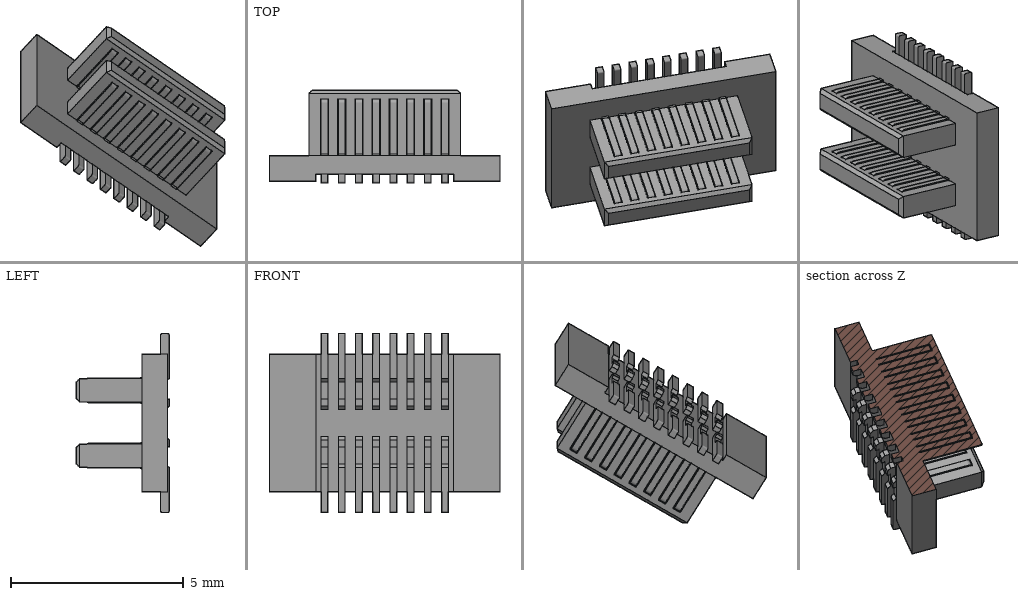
import cadquery as cq


base_length = 6.7
base_height = 4.0
base_thickness = 0.75
recess_length = 4.0
recess_depth = 0.2

blade_length = 4.41
blade_projection = 1.9
blade_inner_z = 0.61
blade_outer_z = 1.285
blade_tip_chamfer = 0.1
blade_tip_y = base_thickness + blade_projection

pin_count = 8
pin_row_span = 3.5
pin_pitch = pin_row_span / (pin_count - 1)
pin_width = 0.2
slot_clearance = 0.02
slot_width = pin_width + 2 * slot_clearance
slot_depth = 0.1
slot_end_y = blade_tip_y - 0.26

contact_proud = 0.03
contact_tip_radius = 0.12
flare_length = 0.05
flare_rise = 0.02
contact_inner_z = blade_inner_z - contact_proud
contact_outer_z = blade_outer_z + contact_proud

tail_face_y = -0.05
tail_embedment = 0.01
tail_back_y = recess_depth + tail_embedment
tail_inner_z = 0.39
tail_outer_z = 2.6
tail_inner_chamfer = 0.1
tail_end_radius = 0.05
notch_depth = 0.1
notch_inner_z = 0.69
notch_outer_z = 1.29


def box(x_range, y_range, z_range):
    """Box spanning the given (low, high) ranges along X, Y and Z."""
    spans = [high - low for low, high in (x_range, y_range, z_range)]
    corner = (x_range[0], y_range[0], z_range[0])
    return cq.Workplane("XY").box(*spans, centered=False).translate(corner)


def centred(length):
    return (-length / 2, length / 2)


def make_base():
    plate = box(centred(base_length), (0, base_thickness), centred(base_height))
    recess = box(centred(recess_length), (0, recess_depth), centred(base_height))
    return plate.cut(recess)


def make_blade():
    blade = box(
        centred(blade_length), (base_thickness, blade_tip_y), (blade_inner_z, blade_outer_z)
    )
    return blade.faces(">Y").chamfer(blade_tip_chamfer)


def make_slots(x):
    """Cutters for the slots in the inner and outer blade faces at one pin position."""
    x_range = (x - slot_width / 2, x + slot_width / 2)
    y_range = (base_thickness, slot_end_y)
    inner = box(x_range, y_range, (blade_inner_z, blade_inner_z + slot_depth))
    outer = box(x_range, y_range, (blade_outer_z - slot_depth, blade_outer_z))
    return inner.union(outer)


def extrude_pin(profile, x):
    """Extrude a (Y, Z) profile to the pin width, centred on x."""
    return profile.close().extrude(pin_width / 2, both=True).translate((x, 0, 0))


def make_contact(x):
    """Contact around the blade: rounded at the tip and flared where it enters the base."""
    flare_y = base_thickness + flare_length
    body = extrude_pin(
        cq.Workplane("YZ")
        .moveTo(base_thickness, contact_inner_z - flare_rise)
        .lineTo(flare_y, contact_inner_z)
        .lineTo(slot_end_y, contact_inner_z)
        .lineTo(slot_end_y, contact_outer_z)
        .lineTo(flare_y, contact_outer_z)
        .lineTo(base_thickness, contact_outer_z + flare_rise),
        x,
    )
    return body.faces(">Y").edges("|X").fillet(contact_tip_radius)


def make_tail(x):
    """Tail with a chamfered inner end, a notch in its solder face and a rounded outer end."""
    notch_floor_y = tail_face_y + notch_depth
    body = extrude_pin(
        cq.Workplane("YZ")
        .moveTo(tail_back_y, tail_inner_z)
        .lineTo(tail_face_y + tail_inner_chamfer, tail_inner_z)
        .lineTo(tail_face_y, tail_inner_z + tail_inner_chamfer)
        .lineTo(tail_face_y, notch_inner_z)
        .lineTo(notch_floor_y, notch_inner_z)
        .lineTo(notch_floor_y, notch_outer_z - notch_depth)
        .lineTo(tail_face_y, notch_outer_z)
        .lineTo(tail_face_y, tail_outer_z)
        .lineTo(tail_back_y, tail_outer_z),
        x,
    )
    return body.faces(">Z").edges("|X").fillet(tail_end_radius)


def make_row():
    """Blade with its contacts and tails on the +Z side."""
    row = make_blade()
    for index in range(pin_count):
        x = index * pin_pitch - pin_row_span / 2
        row = row.cut(make_slots(x)).union(make_contact(x)).union(make_tail(x))
    return row


upper_row = make_row()
lower_row = upper_row.mirror("XY")
result = make_base().union(upper_row).union(lower_row)